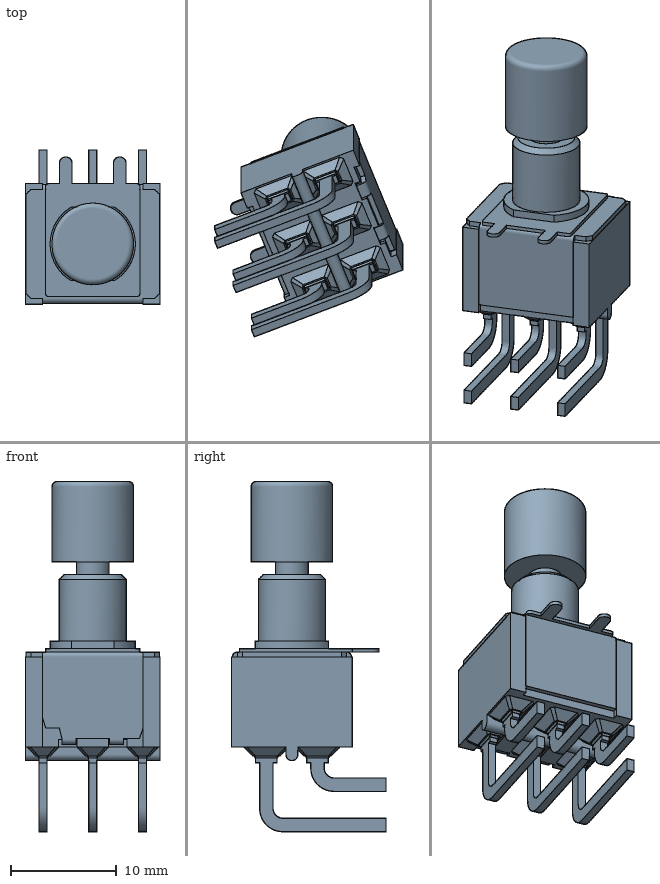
import cadquery as cq

CASE_WIDTH = 12.7
CASE_DEPTH = 11.42
CASE_HEIGHT = 8.5
LID_HEIGHT = 0.45
LID_TOP = CASE_HEIGHT + LID_HEIGHT
LID_WIDTH = 12.65
LID_DEPTH = 10.33
LID_CHAMFER = 0.5

BRACKET_WIDTH = 9.47
BRACKET_THICKNESS = 0.45
BRACKET_DEPTH = LID_DEPTH + 2 * BRACKET_THICKNESS
BRACKET_EDGE = 0.8
BRACKET_LEFT_CUT = 2.7
BRACKET_LEFT_LEDGE = 1.8
BRACKET_RIGHT_CUT = 1.72
LEDGE_OUTER_X = -4.45
LEDGE_INNER_X = -3.15
LEDGE_FOOT_X = -2.9
RIGHT_FOOT_X = 4.4

NOTCH_INNER_X = 1.5
NOTCH_OUTER_X = 3.25
NOTCH_HEIGHT = 0.73
NOTCH_DEPTH = 0.5
LUG_INNER_X = 1.6
LUG_OUTER_X = 2.9
LUG_BOTTOM = 0.23
LUG_RADIUS = 0.45

PLATE_WIDTH = 8.9
PLATE_FRONT = 4.95
PLATE_BACK = CASE_DEPTH / 2
PLATE_THICKNESS = 0.33
PLATE_TOP = LID_TOP + PLATE_THICKNESS
PLATE_CORNER_RADIUS = 0.25
TAB_SPACING = 5.1
TAB_WIDTH = 1.22
TAB_LENGTH = 2.5

FLANGE_DIAMETER = 8.05
FLANGE_FLATS = 6.95
FLANGE_HEIGHT = 0.7
BUSHING_DIAMETER = 6.35
BUSHING_TOP = 16.32
BUSHING_CHAMFER = 0.5

STEM_DIAMETER = 3.1
CAP_DIAMETER = 7.7
CAP_BOTTOM = 17.48
CAP_TOP = 25.1
CAP_FILLET = 0.5

RIB_WIDTH = 1.13
RIB_DEPTH = 1.3

PIN_COLUMNS = 3
PIN_PITCH = 4.7
ROW_SPACING = 4.83
PIN_THICKNESS = 0.75
PIN_WIDTH = 1.3
PIN_END = CASE_DEPTH / 2 + 3.18
BEND_OUTER_RADIUS = 2.22
BEND_INNER_RADIUS = BEND_OUTER_RADIUS - PIN_WIDTH
LOWER_PIN_DROP = 8.0
UPPER_PIN_DROP = 4.2

SEAL_STEP = 0.83
SEAL_BOTTOM = 1.03
SEAL_TOP_SECTION = (2.98, 4.27, 0.3)
SEAL_STEP_SECTION = (1.4, 2.58, 0.23)
SEAL_TIP_TOP_SECTION = (1.13, 2.32, 0.13)
SEAL_TIP_BOTTOM_SECTION = (0.83, 2.12, 0.03)
COLLAR_WIDTH = 2.05
COLLAR_BOTTOM = 1.5


def slab(width, depth, bottom, top):
    """Box centred on the Z axis between two heights."""
    return cq.Workplane("XY").workplane(offset=bottom).rect(width, depth).extrude(top - bottom)


def block(x_range, y_range, z_range):
    """Box between the given limits."""
    size = [high - low for low, high in (x_range, y_range, z_range)]
    corner = (x_range[0], y_range[0], z_range[0])
    return cq.Workplane("XY").box(*size, centered=False).translate(corner)


def disc(diameter, bottom, top):
    """Cylinder on the Z axis between two heights."""
    return cq.Workplane("XY").workplane(offset=bottom).circle(diameter / 2).extrude(top - bottom)


def make_case():
    """Core with four corner posts and a chamfered lid."""
    core = slab(CASE_WIDTH, LID_DEPTH, 0, CASE_HEIGHT)
    full = slab(CASE_WIDTH, CASE_DEPTH, 0, CASE_HEIGHT)
    posts = full.cut(slab(BRACKET_WIDTH, CASE_DEPTH, 0, CASE_HEIGHT))
    lid = slab(LID_WIDTH, LID_DEPTH, CASE_HEIGHT, LID_TOP).edges("|Z").chamfer(LID_CHAMFER)
    case = core.union(posts).union(lid)
    for notch_x in ((-NOTCH_OUTER_X, -NOTCH_INNER_X), (NOTCH_INNER_X, NOTCH_OUTER_X)):
        notch_y = (-LID_DEPTH / 2, -LID_DEPTH / 2 + NOTCH_DEPTH)
        case = case.cut(block(notch_x, notch_y, (0, NOTCH_HEIGHT)))
    return case


def make_bracket():
    """Bracket over the top, front and back, with a stepped lower edge and two lugs in front."""
    half_width = BRACKET_WIDTH / 2
    bracket = slab(BRACKET_WIDTH, BRACKET_DEPTH, BRACKET_EDGE, LID_TOP)
    bracket = bracket.faces(">Z").edges("|X").fillet(BRACKET_THICKNESS)
    inside = slab(BRACKET_WIDTH, LID_DEPTH, BRACKET_EDGE, CASE_HEIGHT)
    bracket = bracket.cut(inside)

    left_corner = [
        (-half_width, BRACKET_EDGE),
        (-half_width, BRACKET_LEFT_CUT),
        (LEDGE_OUTER_X, BRACKET_LEFT_LEDGE),
        (LEDGE_INNER_X, BRACKET_LEFT_LEDGE),
        (LEDGE_FOOT_X, BRACKET_EDGE),
    ]
    right_corner = [
        (half_width, BRACKET_EDGE),
        (half_width, BRACKET_RIGHT_CUT),
        (RIGHT_FOOT_X, BRACKET_EDGE),
    ]
    for corner in (left_corner, right_corner):
        bracket = bracket.cut(cq.Workplane("XZ").polyline(corner).close().extrude(BRACKET_DEPTH))

    for lug_x in ((-LUG_OUTER_X, -LUG_INNER_X), (LUG_INNER_X, LUG_OUTER_X)):
        lug_y = (-BRACKET_DEPTH / 2, -LID_DEPTH / 2 + NOTCH_DEPTH)
        lug = block(lug_x, lug_y, (LUG_BOTTOM, BRACKET_EDGE))
        bracket = bracket.union(lug.edges("|X and <Y and <Z").fillet(LUG_RADIUS))
    return bracket


def make_plate():
    """Plate on the lid with two round-ended tabs pointing to the back."""
    half_width = PLATE_WIDTH / 2
    plate = block((-half_width, half_width), (-PLATE_FRONT, PLATE_BACK), (LID_TOP, PLATE_TOP))
    plate = plate.edges("|Z").fillet(PLATE_CORNER_RADIUS)
    tab_radius = TAB_WIDTH / 2
    tab_end = PLATE_BACK + TAB_LENGTH - tab_radius
    for x in (-TAB_SPACING / 2, TAB_SPACING / 2):
        tab = block((x - tab_radius, x + tab_radius), (0, tab_end), (LID_TOP, PLATE_TOP))
        tip = disc(TAB_WIDTH, LID_TOP, PLATE_TOP).translate((x, tab_end, 0))
        plate = plate.union(tab).union(tip)
    return plate


def make_bushing():
    """Chamfered bushing standing on a flange with flats at front and back."""
    flange_top = PLATE_TOP + FLANGE_HEIGHT
    flange = disc(FLANGE_DIAMETER, PLATE_TOP, flange_top)
    flange = flange.intersect(slab(FLANGE_DIAMETER, FLANGE_FLATS, PLATE_TOP, flange_top))
    barrel = disc(BUSHING_DIAMETER, PLATE_TOP, BUSHING_TOP).faces(">Z").chamfer(BUSHING_CHAMFER)
    return flange.union(barrel)


def make_rib():
    """Round-bottomed rib across the full width of the case underside."""
    radius = RIB_WIDTH / 2
    return (
        cq.Workplane("YZ")
        .moveTo(-radius, 0)
        .lineTo(-radius, radius - RIB_DEPTH)
        .threePointArc((0, -RIB_DEPTH), (radius, radius - RIB_DEPTH))
        .lineTo(radius, 0)
        .close()
        .extrude(CASE_WIDTH / 2, both=True)
    )


def corner_cut_outline(width, depth, cut):
    """Points of a rectangle around the origin with its corners cut at 45 degrees."""
    x = width / 2
    y = depth / 2
    return [
        (x - cut, -y), (x, cut - y), (x, y - cut), (x - cut, y),
        (cut - x, y), (-x, y - cut), (-x, cut - y), (cut - x, -y),
    ]


def frustum(top_section, bottom_section, top, bottom):
    """Taper between two corner-cut rectangles at the given heights."""
    return (
        cq.Workplane("XY")
        .workplane(offset=top)
        .polyline(corner_cut_outline(*top_section))
        .close()
        .workplane(offset=bottom - top)
        .polyline(corner_cut_outline(*bottom_section))
        .close()
        .loft(ruled=True)
    )


def make_terminal(x, y, drop):
    """Tapered seal, collar and a pin bent to the back at the given depth below the case."""
    seal = frustum(SEAL_TOP_SECTION, SEAL_STEP_SECTION, 0, -SEAL_STEP)
    seal_tip = frustum(SEAL_TIP_TOP_SECTION, SEAL_TIP_BOTTOM_SECTION, -SEAL_STEP, -SEAL_BOTTOM)
    collar = slab(PIN_THICKNESS, COLLAR_WIDTH, -COLLAR_BOTTOM, 0)
    half_width = PIN_WIDTH / 2
    pin = (
        cq.Workplane("YZ")
        .moveTo(-half_width, 0)
        .lineTo(-half_width, BEND_OUTER_RADIUS - drop)
        .radiusArc((BEND_OUTER_RADIUS - half_width, -drop), -BEND_OUTER_RADIUS)
        .lineTo(PIN_END - y, -drop)
        .lineTo(PIN_END - y, PIN_WIDTH - drop)
        .lineTo(half_width + BEND_INNER_RADIUS, PIN_WIDTH - drop)
        .radiusArc((half_width, BEND_OUTER_RADIUS - drop), BEND_INNER_RADIUS)
        .lineTo(half_width, 0)
        .close()
        .extrude(PIN_THICKNESS / 2, both=True)
    )
    return seal.union(seal_tip).union(collar).union(pin).translate((x, y, 0))


def make_switch():
    """Complete switch body: case, bracket, plate, bushing, rib and six terminals."""
    switch = make_case().union(make_bracket()).union(make_plate())
    switch = switch.union(make_bushing()).union(make_rib())
    for column in range(PIN_COLUMNS):
        x = (column - (PIN_COLUMNS - 1) / 2) * PIN_PITCH
        switch = switch.union(make_terminal(x, -ROW_SPACING / 2, LOWER_PIN_DROP))
        switch = switch.union(make_terminal(x, ROW_SPACING / 2, UPPER_PIN_DROP))
    return switch


def make_button():
    """Rounded cap on a stem that stands on the bushing."""
    stem = disc(STEM_DIAMETER, BUSHING_TOP, CAP_BOTTOM)
    cap = disc(CAP_DIAMETER, CAP_BOTTOM, CAP_TOP).faces(">Z").edges().fillet(CAP_FILLET)
    return stem.union(cap)


switch = make_switch()
button = make_button()

result = cq.Compound.makeCompound([switch.val(), button.val()])